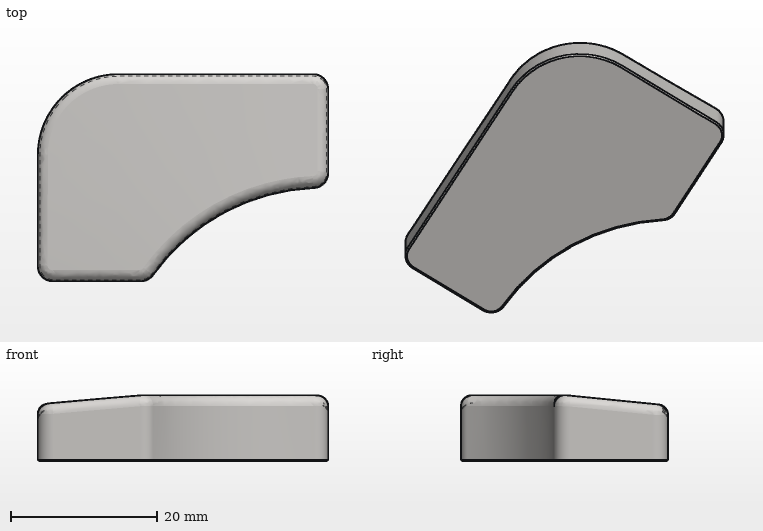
import cadquery as cq
import math

LENGTH = 39.8
WIDTH = 28.4

CORNER_RADIUS = 4.25 / 2
LARGE_CORNER_RADIUS = 11.1
HUB_X = 38.93
HUB_Y = -15.6
HUB_RADIUS = 28.4

TOP_HEIGHT = 9.235
TOP_SLOPE = 0.1

TOP_FILLET = 1.5
BOTTOM_CHAMFER = 0.25


def hub_arc_x(y):
    """X of the concave arc, on its left side, at the given Y."""
    return HUB_X - math.sqrt(HUB_RADIUS**2 - (y - HUB_Y) ** 2)


def hub_arc_y(x):
    """Y of the concave arc, on its upper side, at the given X."""
    return HUB_Y + math.sqrt(HUB_RADIUS**2 - (x - HUB_X) ** 2)


def is_sharp_corner(edge):
    """True for vertical edges well clear of the large rounding at the back left corner."""
    centre = edge.Center()
    return math.hypot(centre.x, centre.y - WIDTH) > 2 * LARGE_CORNER_RADIUS


def make_prism(height):
    """Upright prism on the plan outline with its vertical corners rounded."""
    arc_start_x = hub_arc_x(0)
    arc_middle_x = (arc_start_x + LENGTH) / 2
    prism = (
        cq.Workplane("XY")
        .moveTo(0, 0)
        .lineTo(arc_start_x, 0)
        .threePointArc((arc_middle_x, hub_arc_y(arc_middle_x)), (LENGTH, hub_arc_y(LENGTH)))
        .lineTo(LENGTH, WIDTH)
        .lineTo(0, WIDTH)
        .close()
        .extrude(height)
    )
    large_corner = cq.selectors.NearestToPointSelector((0, WIDTH, height / 2))
    prism = prism.edges(large_corner).fillet(LARGE_CORNER_RADIUS)
    sharp_corners = prism.edges("|Z").filter(is_sharp_corner)
    return prism.newObject(sharp_corners.vals()).fillet(CORNER_RADIUS)


def make_cone():
    """Solid of revolution about the hub axis whose upper side is the sloping top."""
    outer_radius = math.hypot(LENGTH, WIDTH - HUB_Y)
    axis_height = TOP_HEIGHT + TOP_SLOPE * HUB_RADIUS
    outer_height = axis_height - TOP_SLOPE * outer_radius
    profile = (
        cq.Workplane("XZ")
        .moveTo(0, 0)
        .lineTo(outer_radius, 0)
        .lineTo(outer_radius, outer_height)
        .lineTo(0, axis_height)
        .close()
    )
    return profile.revolve(360, (0, 0), (0, 1)).translate((HUB_X, HUB_Y, 0))


body = make_prism(2 * TOP_HEIGHT).intersect(make_cone())
body = body.faces("%CONE").edges().fillet(TOP_FILLET)
result = body.faces("<Z").edges().chamfer(BOTTOM_CHAMFER)